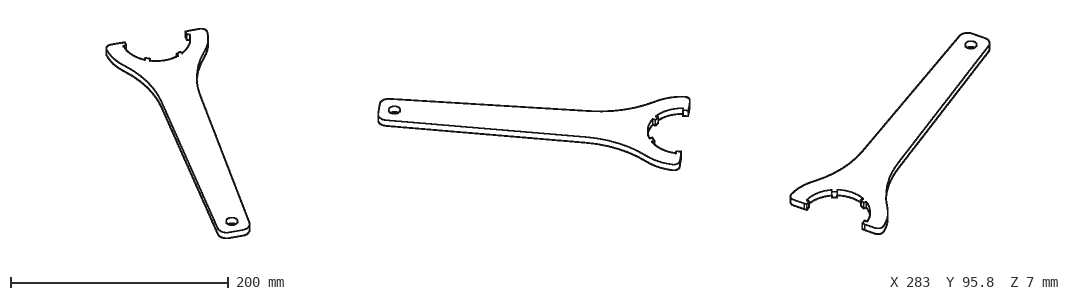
import cadquery as cq
import math

length = 283.0
thickness = 7.0
jaw_face_x = -2.5
handle_end_x = jaw_face_x + length

jaw_radius = 48.0
jaw_corner_radius = 5.7
bore_radius = 31.7
tooth_tip_radius = 29.0
tooth_width = 4.8
tooth_angles = (-90, -30, 30, 90)

neck_x = 87.0
neck_half_width = 18.5
end_half_width = 15.0
end_corner_radius = 8.5
blend_radius = 99.0
hole_diameter = 10.5
hole_inset = 14.5


def polar(radius, angle):
    return radius * math.cos(angle), radius * math.sin(angle)


def mirrored(point):
    return point[0], -point[1]


def make_body():
    """Plate outline: round jaw blended by tangent arcs into the tapered handle."""
    taper = math.atan2(neck_half_width - end_half_width, handle_end_x - neck_x)

    normal_x, normal_y = math.sin(taper), math.cos(taper)
    center_offset = neck_x * normal_x + neck_half_width * normal_y + blend_radius
    center_distance = jaw_radius + blend_radius
    center_angle = math.pi / 2 - taper - math.acos(center_offset / center_distance)
    center_x, center_y = polar(center_distance, center_angle)

    def on_blend(angle):
        dx, dy = polar(blend_radius, angle)
        return center_x + dx, center_y + dy

    jaw_end_angle = center_angle - math.pi
    handle_end_angle = -math.pi / 2 - taper
    blend_start = on_blend(jaw_end_angle)
    blend_middle = on_blend((jaw_end_angle + handle_end_angle) / 2)
    blend_end = on_blend(handle_end_angle)

    tip_angle = math.acos(jaw_face_x / jaw_radius)
    tip = polar(jaw_radius, tip_angle)
    jaw_middle = polar(jaw_radius, (tip_angle + center_angle) / 2)
    end_corner = (handle_end_x, end_half_width)

    body = (
        cq.Workplane("XY")
        .moveTo(*tip)
        .threePointArc(jaw_middle, blend_start)
        .threePointArc(blend_middle, blend_end)
        .lineTo(*end_corner)
        .lineTo(*mirrored(end_corner))
        .lineTo(*mirrored(blend_end))
        .threePointArc(mirrored(blend_middle), mirrored(blend_start))
        .threePointArc(mirrored(jaw_middle), mirrored(tip))
        .close()
        .extrude(thickness)
    )
    body = body.edges("|Z and <X").fillet(jaw_corner_radius)
    return body.edges("|Z and >X").fillet(end_corner_radius)


def make_bore():
    """Bore cutter, notched so that the teeth are left standing."""
    bore = cq.Workplane("XY").circle(bore_radius).extrude(thickness)
    for angle in tooth_angles:
        tooth = (
            cq.Workplane("XY")
            .center(bore_radius / 2, 0)
            .rect(bore_radius, tooth_width)
            .extrude(thickness)
            .rotate((0, 0, 0), (0, 0, 1), angle)
        )
        bore = bore.cut(tooth)
    return bore.union(cq.Workplane("XY").circle(tooth_tip_radius).extrude(thickness))


hanging_hole = (
    cq.Workplane("XY")
    .center(handle_end_x - hole_inset, 0)
    .circle(hole_diameter / 2)
    .extrude(thickness)
)

result = make_body().cut(make_bore()).cut(hanging_hole)